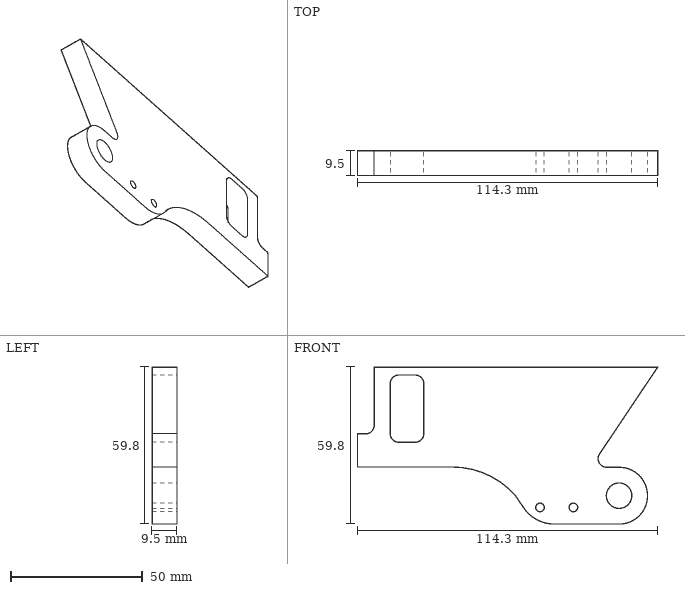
import cadquery as cq
import math

length = 114.3
thickness = 9.5
height = 59.8

lobe_radius = 10.9
lobe_x = 99.5
pivot_diameter = 9.6
shelf_z = 2 * lobe_radius

lip_length = 6.4
lip_top_z = shelf_z + 12.7
corner_radius = 3.2

notch_x = 88.8
slope_run_per_rise = (length - notch_x) / (height - shelf_z)

arch_start_x = 36.1
arch_radius = 32.0
arch_end_x = 60.1
arch_center_z = shelf_z - arch_radius
heel_radius = 14.2

window_left = 12.6
window_width = 12.7
window_height = 25.5
window_top_gap = 3.1

pin_diameter = 3.2
first_pin_x = 69.5
pin_spacing = 12.7
pin_z = 6.4


def arch_z(x):
    """Height of the arch at a given X."""
    return arch_center_z + math.sqrt(arch_radius**2 - (x - arch_start_x) ** 2)


def through_cutter(sketch):
    """Turn a closed XZ sketch into a cutter through the plate thickness."""
    return sketch.extrude(thickness / 2, both=True)


def make_plate():
    """Profile of the plate with its rounded corners, centred on Y = 0."""
    arch_mid_x = (arch_start_x + arch_end_x) / 2
    arch_end_z = arch_z(arch_end_x)
    heel_x = arch_end_x + arch_end_z * slope_run_per_rise
    profile = (
        cq.Workplane("XZ")
        .moveTo(0, shelf_z)
        .lineTo(arch_start_x, shelf_z)
        .threePointArc((arch_mid_x, arch_z(arch_mid_x)), (arch_end_x, arch_end_z))
        .lineTo(heel_x, 0)
        .lineTo(lobe_x, 0)
        .threePointArc((lobe_x + lobe_radius, lobe_radius), (lobe_x, shelf_z))
        .lineTo(notch_x, shelf_z)
        .lineTo(length, height)
        .lineTo(lip_length, height)
        .lineTo(lip_length, lip_top_z)
        .lineTo(0, lip_top_z)
        .close()
    )
    plate = profile.extrude(thickness / 2, both=True)

    rounded_corners = (
        (heel_x, 0, heel_radius),
        (notch_x, shelf_z, corner_radius),
        (lip_length, lip_top_z, corner_radius),
    )
    for x, z, radius in rounded_corners:
        corner_edge = cq.selectors.NearestToPointSelector((x, 0, z))
        plate = plate.edges("|Y").edges(corner_edge).fillet(radius)
    return plate


def make_window():
    """Rounded rectangular cutter for the window."""
    center_x = window_left + window_width / 2
    center_z = height - window_top_gap - window_height / 2
    sketch = cq.Workplane("XZ").center(center_x, center_z).rect(window_width, window_height)
    return through_cutter(sketch).edges("|Y").fillet(corner_radius)


def make_hole(x, z, diameter):
    """Round cutter along Y."""
    return through_cutter(cq.Workplane("XZ").center(x, z).circle(diameter / 2))


result = make_plate().cut(make_window())
result = result.cut(make_hole(lobe_x, lobe_radius, pivot_diameter))
for pin_x in (first_pin_x, first_pin_x + pin_spacing):
    result = result.cut(make_hole(pin_x, pin_z, pin_diameter))